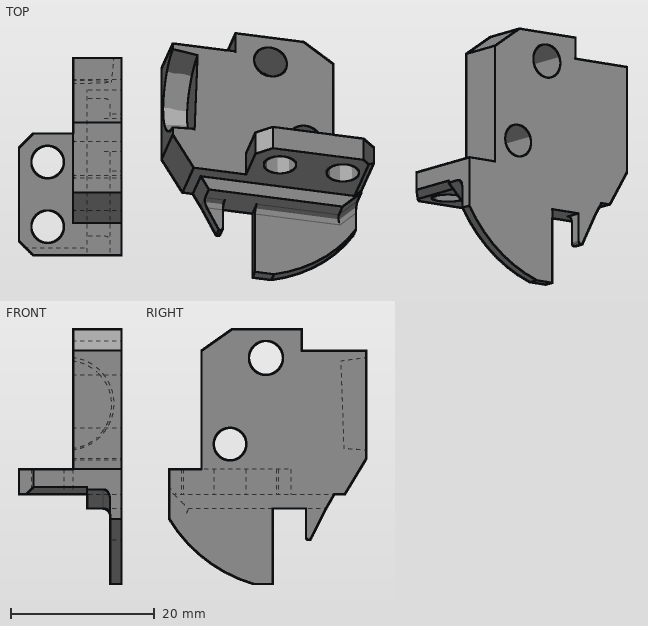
import cadquery as cq
import math


PLATE_THICKNESS = 6.75
PLATE_FRONT = 4.5
PLATE_END = 27.5
PLATE_BOTTOM = 12.5
PLATE_TOP = 35.5
SHOULDER_Y = 18.5
SHOULDER_Z = 32.5
TOP_BEVEL_LENGTH = 4.25
TOP_BEVEL_DROP = 3.0
END_BEVEL_LENGTH = 3.0
END_BEVEL_RISE = 5.0
UPPER_HOLE = (13.5, 31.5)
UPPER_HOLE_DIAMETER = 4.7
LOWER_HOLE = (8.5, 19.5)
LOWER_HOLE_DIAMETER = 4.5

FLANGE_REACH = 14.3
FLANGE_LENGTH = 17.0
FLANGE_THICKNESS = 3.5
FLANGE_TOP = PLATE_BOTTOM + FLANGE_THICKNESS
FLANGE_CORNER = 2.0
FLANGE_FRONT_BEVEL = 1.0
FLANGE_HOLE_DIAMETER = 4.5
FLANGE_HOLE_INSET = 4.0
FLANGE_HOLE_YS = (4.0, 13.0)

RAIL_THICKNESS = 4.8
RAIL_DEPTH = 2.0
RAIL_BOTTOM = PLATE_BOTTOM - RAIL_DEPTH
RAIL_END = 23.02
RAIL_END_ANGLE = 60.0
RAIL_FRONT_BEVEL = 2.7
RAIL_BOTTOM_END = RAIL_END - RAIL_DEPTH / math.tan(math.radians(RAIL_END_ANGLE))

WEB_THICKNESS = 1.6
WEB_END = 14.47
WEB_FLAT_START = 11.75
WEB_FRONT_Z = 9.1
WEB_ARC_RADIUS = 20.55
FINGER_FRONT = 19.05
FINGER_TIP_Y = 19.67
FINGER_TIP_Z = 6.15
FINGER_TIP_ROUND = 0.4
ROOT_FILLET = 1.0

RECESS_Z = 25.1
RECESS_RADIUS = 6.48
RECESS_OFFSET = 0.8
RECESS_DEPTH = 3.35
RECESS_TAPER = 5.7
RECESS_TILT = 2.0
RECESS_OVERRUN = 2.0


def slab(outline, thickness):
    """Extrude a closed YZ outline from the back face towards -X."""
    return outline.close().extrude(-thickness)


def plate_hole(centre, diameter):
    return cq.Workplane("YZ").center(*centre).circle(diameter / 2).extrude(-PLATE_THICKNESS)


def make_plate():
    outline = cq.Workplane("YZ").polyline([
        (PLATE_FRONT, PLATE_BOTTOM),
        (PLATE_END - END_BEVEL_LENGTH, PLATE_BOTTOM),
        (PLATE_END, PLATE_BOTTOM + END_BEVEL_RISE),
        (PLATE_END, SHOULDER_Z),
        (SHOULDER_Y, SHOULDER_Z),
        (SHOULDER_Y, PLATE_TOP),
        (PLATE_FRONT + TOP_BEVEL_LENGTH, PLATE_TOP),
        (PLATE_FRONT, PLATE_TOP - TOP_BEVEL_DROP),
    ])
    plate = slab(outline, PLATE_THICKNESS)
    plate = plate.cut(plate_hole(UPPER_HOLE, UPPER_HOLE_DIAMETER))
    return plate.cut(plate_hole(LOWER_HOLE, LOWER_HOLE_DIAMETER))


def make_flange():
    outline = cq.Workplane("YZ").polyline([
        (0, FLANGE_TOP),
        (0, PLATE_BOTTOM + FLANGE_FRONT_BEVEL),
        (FLANGE_FRONT_BEVEL, PLATE_BOTTOM),
        (FLANGE_LENGTH, PLATE_BOTTOM),
        (FLANGE_LENGTH, FLANGE_TOP),
    ])
    plan = (
        cq.Workplane("XY")
        .workplane(offset=PLATE_BOTTOM)
        .polyline([
            (0, 0),
            (FLANGE_CORNER - FLANGE_REACH, 0),
            (-FLANGE_REACH, FLANGE_CORNER),
            (-FLANGE_REACH, FLANGE_LENGTH - FLANGE_CORNER),
            (FLANGE_CORNER - FLANGE_REACH, FLANGE_LENGTH),
            (0, FLANGE_LENGTH),
        ])
        .close()
        .extrude(FLANGE_THICKNESS)
    )
    holes = (
        cq.Workplane("XY")
        .workplane(offset=PLATE_BOTTOM)
        .pushPoints([(FLANGE_HOLE_INSET - FLANGE_REACH, y) for y in FLANGE_HOLE_YS])
        .circle(FLANGE_HOLE_DIAMETER / 2)
        .extrude(FLANGE_THICKNESS)
    )
    return slab(outline, FLANGE_REACH).intersect(plan).cut(holes)


def make_rail():
    outline = cq.Workplane("YZ").polyline([
        (0, FLANGE_TOP),
        (0, RAIL_BOTTOM + RAIL_FRONT_BEVEL),
        (RAIL_FRONT_BEVEL, RAIL_BOTTOM),
        (RAIL_BOTTOM_END, RAIL_BOTTOM),
        (RAIL_END, PLATE_BOTTOM),
        (FLANGE_LENGTH, PLATE_BOTTOM),
        (FLANGE_LENGTH, FLANGE_TOP),
    ])
    return slab(outline, RAIL_THICKNESS)


def make_web():
    outline = (
        cq.Workplane("YZ")
        .moveTo(0, FLANGE_TOP)
        .lineTo(0, WEB_FRONT_Z)
        .radiusArc((WEB_FLAT_START, 0), -WEB_ARC_RADIUS)
        .lineTo(WEB_END, 0)
        .lineTo(WEB_END, FLANGE_TOP)
    )
    return slab(outline, WEB_THICKNESS)


def make_finger():
    outline = cq.Workplane("YZ").polyline([
        (FINGER_FRONT, PLATE_BOTTOM),
        (FINGER_FRONT, FINGER_TIP_Z),
        (FINGER_TIP_Y, FINGER_TIP_Z),
        (RAIL_BOTTOM_END, RAIL_BOTTOM),
        (RAIL_END, PLATE_BOTTOM),
    ])
    finger = slab(outline, WEB_THICKNESS)
    return finger.edges("|X").edges("<Y").edges("<Z").fillet(FINGER_TIP_ROUND)


def make_hanging_wall():
    """Rail, web and finger, with the inside corner below the rail rounded."""
    wall = make_rail().union(make_web()).union(make_finger())
    margin = 0.1
    root_edges = cq.selectors.BoxSelector(
        (-WEB_THICKNESS - margin, margin, RAIL_BOTTOM - margin),
        (-WEB_THICKNESS + margin, RAIL_END, RAIL_BOTTOM + RAIL_FRONT_BEVEL),
    )
    return wall.edges(root_edges).fillet(ROOT_FILLET)


def make_recess_cutter():
    taper = math.tan(math.radians(RECESS_TAPER))
    inner_radius = RECESS_RADIUS - RECESS_DEPTH * taper
    outer_radius = RECESS_RADIUS + RECESS_OVERRUN * taper
    start = cq.Vector(0, -RECESS_DEPTH, 0)
    height = RECESS_DEPTH + RECESS_OVERRUN
    cone = cq.Solid.makeCone(inner_radius, outer_radius, height, start, cq.Vector(0, 1, 0))
    tilted = cone.rotate((0, 0, 0), (1, 0, 0), RECESS_TILT)
    return tilted.translate((-PLATE_THICKNESS - RECESS_OFFSET, PLATE_END, RECESS_Z))


body = make_plate().union(make_flange()).union(make_hanging_wall())
result = body.cut(make_recess_cutter())